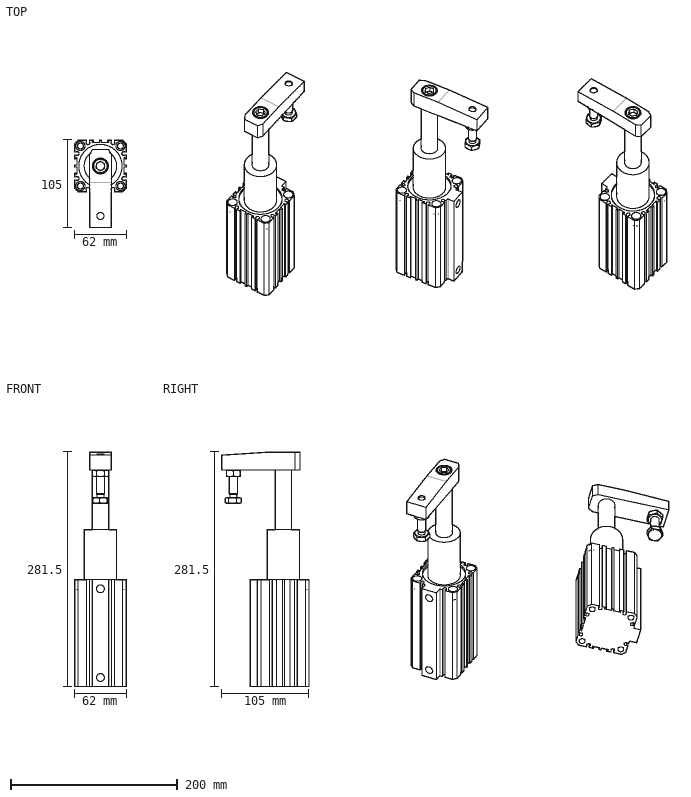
import cadquery as cq
import math


TUBE_HEIGHT = 128.5
GUIDE_HEIGHT = 60.0
GUIDE_TOP = TUBE_HEIGHT + GUIDE_HEIGHT
ARM_TOP = 281.5
ARM_THICKNESS = 21.5
ARM_BOTTOM = ARM_TOP - ARM_THICKNESS

TUBE_WIDTH = 62.0
HALF_WIDTH = TUBE_WIDTH / 2
CORNER_CHAMFER = 4.3
MOUNT_OFFSET = 24.0
MOUNT_HOLE_DIA = 7.0
MOUNT_BORE_DIA = 11.0
MOUNT_BORE_DEPTH = 12.0
RECESS_DIA = 52.0
RECESS_DEPTH = 3.0
GUIDE_DIA = 39.0

BOSS_WIDTH = 19.6
BOSS_FACE_Y = -40.0
BOSS_ROOT_RADIUS = 1.2
PORT_DIA = 9.4
PORT_DEPTH = 14.0
PORT_END_DISTANCE = 11.0

SLOT_OFFSET = 15.0
SLOT_DIA = 4.2
SLOT_AXIS_DEPTH = 3.1
SLOT_MOUTH = 3.2

RIB_WIDTH = 2.5
GROOVE_MOUTH_EDGE = 8.2
GROOVE_UNDERCUT_EDGE = 9.7
GROOVE_LIP = 1.8
GROOVE_DEPTH = 2.6

ROD_DIA = 20.0

ARM_WIDTH = 26.0
ARM_BACK_Y = 20.0
ARM_TIP_Y = -74.0
ARM_SLOPE_START_Y = -20.0
ARM_TIP_THICKNESS = 18.0
ARM_CHAMFER_LENGTH = 6.0
ARM_CHAMFER_WIDTH = ARM_CHAMFER_LENGTH * math.tan(math.radians(30))

SCREW_DIA = 12.0
SCREW_REACH = 20.0
HEAD_DIA = 18.0
HEAD_HEIGHT = 12.0
HEAD_CHAMFER = 1.0
COUNTERBORE_DIA = 19.0
SOCKET_FLATS = 10.0
SOCKET_DEPTH = 6.0
SOCKET_TURN = 86.0
DRILL_POINT_ANGLE = 118.0

BOLT_Y = -60.0
BOLT_DIA = 10.0
BOLT_CORE_DIA = 8.5
BOLT_END_Z = 277.0
HEX_FLATS = 17.0
NUT_HEIGHT = 8.0
NUT_BOTTOM = ARM_BOTTOM - NUT_HEIGHT
BOLT_HEAD_BOTTOM = 220.0
BOLT_HEAD_HEIGHT = 7.0
BOLT_HEAD_TOP = BOLT_HEAD_BOTTOM + BOLT_HEAD_HEIGHT
BOLT_HEAD_TURN = 24.0
NECK_LENGTH = 3.5
NECK_TAPER = 1.1
HEX_FACE_DIA = 16.0
HEX_CHAMFER_ANGLE = 30.0


def cylinder(diameter, bottom, top, x=0.0, y=0.0):
    """Upright cylinder between two heights."""
    return cq.Workplane("XY", origin=(x, y, bottom)).circle(diameter / 2).extrude(top - bottom)


def hexagon_prism(flats, bottom, height, turn, y=0.0):
    """Upright hexagonal prism with one corner at the angle `turn` from +X."""
    corner_dia = flats / math.cos(math.radians(30))
    plane = cq.Workplane("XY", origin=(0, y, bottom)).transformed(rotate=(0, 0, turn))
    return plane.polygon(6, corner_dia).extrude(height)


def chamfered_hexagon(bottom, height, turn):
    """Bolt-size hexagon on the bolt axis, its corners turned off by a cone at both ends."""
    face_radius = HEX_FACE_DIA / 2
    corner_radius = HEX_FLATS / 2 / math.cos(math.radians(30))
    drop = (corner_radius - face_radius) * math.tan(math.radians(HEX_CHAMFER_ANGLE))
    turned_blank = (
        cq.Workplane("XZ")
        .polyline([
            (0, 0),
            (face_radius, 0),
            (corner_radius, drop),
            (corner_radius, height - drop),
            (face_radius, height),
            (0, height),
        ])
        .close()
        .revolve(360, (0, 0, 0), (0, 1, 0))
        .translate((0, BOLT_Y, bottom))
    )
    return hexagon_prism(HEX_FLATS, bottom, height, turn, BOLT_Y).intersect(turned_blank)


def sensor_slot(x):
    """Cutter for one sensor slot in the -Y side of the tube."""
    axis_y = SLOT_AXIS_DEPTH - HALF_WIDTH
    channel = cylinder(SLOT_DIA, 0, TUBE_HEIGHT, x, axis_y)
    mouth = (
        cq.Workplane("XY", origin=(x, axis_y - SLOT_AXIS_DEPTH / 2, 0))
        .rect(SLOT_MOUTH, SLOT_AXIS_DEPTH)
        .extrude(TUBE_HEIGHT)
    )
    return channel.union(mouth)


def undercut_groove():
    """Cutter for the groove on the +X side of the middle rib, in the -Y side of the tube."""
    lip_y = GROOVE_LIP - HALF_WIDTH
    floor_y = GROOVE_DEPTH - HALF_WIDTH
    return (
        cq.Workplane("XY")
        .polyline([
            (RIB_WIDTH / 2, -HALF_WIDTH),
            (GROOVE_MOUTH_EDGE, -HALF_WIDTH),
            (GROOVE_MOUTH_EDGE, lip_y),
            (GROOVE_UNDERCUT_EDGE, lip_y),
            (GROOVE_UNDERCUT_EDGE, floor_y),
            (RIB_WIDTH / 2, floor_y),
        ])
        .close()
        .extrude(TUBE_HEIGHT)
    )


def turned(shape, angle):
    """The shape rotated about the cylinder axis."""
    return shape.rotate((0, 0, 0), (0, 0, 1), angle)


def port_boss():
    """Boss with rounded inner corners at its root, reaching into the tube wall to the groove depth."""
    half = BOSS_WIDTH / 2
    root_half = half + BOSS_ROOT_RADIUS
    root_y = -HALF_WIDTH - BOSS_ROOT_RADIUS
    inner_y = GROOVE_DEPTH - HALF_WIDTH
    return (
        cq.Workplane("XY")
        .moveTo(-root_half, inner_y)
        .lineTo(-root_half, -HALF_WIDTH)
        .radiusArc((-half, root_y), BOSS_ROOT_RADIUS)
        .lineTo(-half, BOSS_FACE_Y)
        .lineTo(half, BOSS_FACE_Y)
        .lineTo(half, root_y)
        .radiusArc((root_half, -HALF_WIDTH), BOSS_ROOT_RADIUS)
        .lineTo(root_half, inner_y)
        .close()
        .extrude(TUBE_HEIGHT)
    )


def make_tube():
    """Profiled tube with its port boss and the guide that carries the rod."""
    tube = (
        cq.Workplane("XY")
        .rect(TUBE_WIDTH, TUBE_WIDTH)
        .extrude(TUBE_HEIGHT)
        .edges("|Z")
        .chamfer(CORNER_CHAMFER)
        .union(port_boss())
    )

    for side_angle in (0, 90, 180, 270):
        for x in (-SLOT_OFFSET, SLOT_OFFSET):
            tube = tube.cut(turned(sensor_slot(x), side_angle))

    groove = undercut_groove()
    for side_angle in (90, 180, 270):
        for one_groove in (groove, groove.mirror("YZ")):
            tube = tube.cut(turned(one_groove, side_angle))

    for x in (-MOUNT_OFFSET, MOUNT_OFFSET):
        for y in (-MOUNT_OFFSET, MOUNT_OFFSET):
            tube = tube.cut(cylinder(MOUNT_HOLE_DIA, 0, TUBE_HEIGHT, x, y))
            tube = tube.cut(cylinder(MOUNT_BORE_DIA, TUBE_HEIGHT - MOUNT_BORE_DEPTH, TUBE_HEIGHT, x, y))

    for z in (PORT_END_DISTANCE, TUBE_HEIGHT - PORT_END_DISTANCE):
        port_plane = cq.Workplane("XZ", origin=(0, BOSS_FACE_Y, z))
        tube = tube.cut(port_plane.circle(PORT_DIA / 2).extrude(-PORT_DEPTH))

    recess_floor = TUBE_HEIGHT - RECESS_DEPTH
    tube = tube.cut(cylinder(RECESS_DIA, recess_floor, TUBE_HEIGHT))
    tube = tube.union(cylinder(GUIDE_DIA, recess_floor, GUIDE_TOP))
    return tube.cut(cylinder(ROD_DIA, TUBE_HEIGHT, GUIDE_TOP))


def make_rod():
    """Piston rod from the bottom of the guide bore to the arm, bored for the arm screw."""
    rod = cylinder(ROD_DIA, TUBE_HEIGHT, ARM_BOTTOM)
    return rod.cut(cylinder(SCREW_DIA, ARM_BOTTOM - SCREW_REACH, ARM_BOTTOM))


def make_arm():
    """Clamp arm: sloped toward the tip, with its back corners cut off."""
    half = ARM_WIDTH / 2
    side_profile = (
        cq.Workplane("YZ")
        .polyline([
            (ARM_BACK_Y, ARM_BOTTOM),
            (ARM_BACK_Y, ARM_TOP),
            (ARM_SLOPE_START_Y, ARM_TOP),
            (ARM_TIP_Y, ARM_BOTTOM + ARM_TIP_THICKNESS),
            (ARM_TIP_Y, ARM_BOTTOM),
        ])
        .close()
        .extrude(half, both=True)
    )
    plan = (
        cq.Workplane("XY", origin=(0, 0, ARM_BOTTOM))
        .polyline([
            (-half, ARM_TIP_Y),
            (half, ARM_TIP_Y),
            (half, ARM_BACK_Y - ARM_CHAMFER_LENGTH),
            (half - ARM_CHAMFER_WIDTH, ARM_BACK_Y),
            (ARM_CHAMFER_WIDTH - half, ARM_BACK_Y),
            (-half, ARM_BACK_Y - ARM_CHAMFER_LENGTH),
        ])
        .close()
        .extrude(ARM_THICKNESS)
    )
    arm = side_profile.intersect(plan)
    arm = arm.cut(cylinder(SCREW_DIA, ARM_BOTTOM, ARM_TOP))
    arm = arm.cut(cylinder(COUNTERBORE_DIA, ARM_TOP - HEAD_HEIGHT, ARM_TOP))
    return arm.cut(cylinder(BOLT_CORE_DIA, ARM_BOTTOM, ARM_TOP, y=BOLT_Y))


def make_screw():
    """Socket head screw, flush with the arm, its hexagon socket ending in a drill point."""
    head_bottom = ARM_TOP - HEAD_HEIGHT
    head = cylinder(HEAD_DIA, head_bottom, ARM_TOP).faces(">Z").chamfer(HEAD_CHAMFER)
    shank = cylinder(SCREW_DIA, ARM_BOTTOM - SCREW_REACH, head_bottom)

    socket_bottom = ARM_TOP - SOCKET_DEPTH
    socket = hexagon_prism(SOCKET_FLATS, socket_bottom, SOCKET_DEPTH, SOCKET_TURN)
    point_radius = SOCKET_FLATS / 2
    point_height = point_radius / math.tan(math.radians(DRILL_POINT_ANGLE / 2))
    drill_point = (
        cq.Workplane("XZ", origin=(0, 0, socket_bottom))
        .polyline([(0, 0), (point_radius, 0), (0, -point_height)])
        .close()
        .revolve(360, (0, 0, 0), (0, 1, 0))
    )
    return head.union(shank).cut(socket).cut(drill_point)


def make_nut():
    """Lock nut between the clamp bolt and the underside of the arm."""
    nut = chamfered_hexagon(NUT_BOTTOM, NUT_HEIGHT, 0)
    return nut.cut(cylinder(BOLT_DIA, NUT_BOTTOM, ARM_BOTTOM, y=BOLT_Y))


def make_bolt():
    """Clamp bolt, head down: neck, taper, full shank through the nut, thread core in the arm."""
    core_radius = BOLT_CORE_DIA / 2
    shank_radius = BOLT_DIA / 2
    neck_top = BOLT_HEAD_TOP + NECK_LENGTH
    shank = (
        cq.Workplane("XZ", origin=(0, BOLT_Y, 0))
        .polyline([
            (0, BOLT_HEAD_TOP),
            (core_radius, BOLT_HEAD_TOP),
            (core_radius, neck_top),
            (shank_radius, neck_top + NECK_TAPER),
            (shank_radius, ARM_BOTTOM),
            (core_radius, ARM_BOTTOM),
            (core_radius, BOLT_END_Z),
            (0, BOLT_END_Z),
        ])
        .close()
        .revolve(360, (0, 0, 0), (0, 1, 0))
    )
    return chamfered_hexagon(BOLT_HEAD_BOTTOM, BOLT_HEAD_HEIGHT, BOLT_HEAD_TURN).union(shank)


tube = make_tube()
rod = make_rod()
arm = make_arm()
screw = make_screw()
nut = make_nut()
bolt = make_bolt()

result = cq.Compound.makeCompound([
    tube.val(),
    rod.val(),
    arm.val(),
    screw.val(),
    nut.val(),
    bolt.val(),
])